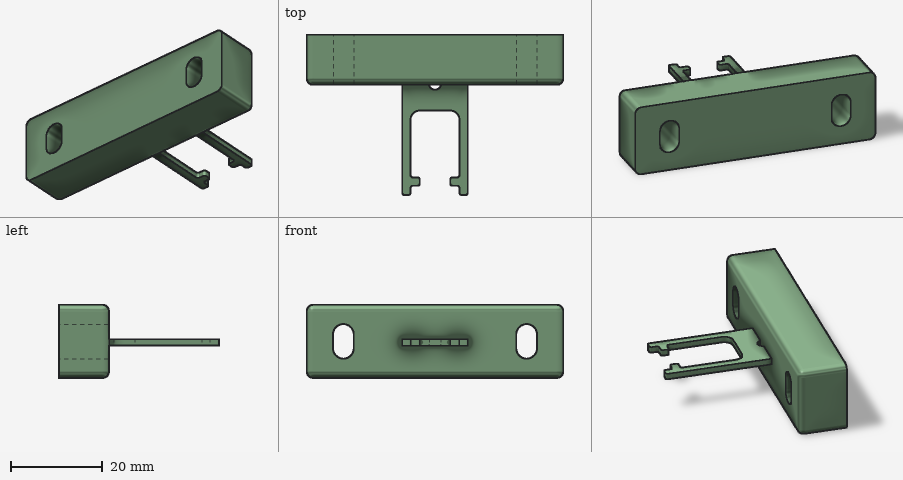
import cadquery as cq

housing_width = 56.0
housing_depth = 11.0
housing_height = 16.0
housing_edge_radius = 1.45

slot_width = 4.5
slot_height = 7.5
slot_spacing = 40.0

key_length = 24.0
key_width = 14.35
key_thickness = 1.4
key_drop = 0.2
arm_width = 1.85
bridge_length = 5.6
bridge_corner_radius = 2.0
small_radius = 0.5

tooth_reach = 2.0
tooth_length = 1.85
tooth_tip_distance = 2.0

notch_radius = 1.35
notch_depth = 1.0

front_y = -housing_depth
tip_y = front_y - key_length
bridge_y = front_y - bridge_length
tooth_front_y = tip_y + tooth_tip_distance
tooth_back_y = tooth_front_y + tooth_length
outer_x = key_width / 2
inner_x = outer_x - arm_width
tooth_x = inner_x - tooth_reach


def make_housing():
    """Block rounded on every edge except those of the flat back face."""
    block = (
        cq.Workplane("XY")
        .box(housing_width, housing_depth, housing_height)
        .translate((0, -housing_depth / 2, 0))
        .edges("not >Y")
        .fillet(housing_edge_radius)
    )
    slots = (
        cq.Workplane("XZ")
        .pushPoints([(-slot_spacing / 2, 0), (slot_spacing / 2, 0)])
        .slot2D(slot_height, slot_width, 90)
        .extrude(housing_depth)
    )
    return block.cut(slots)


def make_key():
    """Symmetric fork with toothed arms and a notch at its root."""
    right_side = [
        (outer_x, front_y),
        (outer_x, tip_y),
        (inner_x, tip_y),
        (inner_x, tooth_front_y),
        (tooth_x, tooth_front_y),
        (tooth_x, tooth_back_y),
        (inner_x, tooth_back_y),
        (inner_x, bridge_y),
    ]
    left_side = [(-x, y) for x, y in reversed(right_side)]
    bottom_z = -key_drop - key_thickness / 2
    key = (
        cq.Workplane("XY", origin=(0, 0, bottom_z))
        .polyline(right_side + left_side)
        .close()
        .extrude(key_thickness)
    )

    bridge_zone = cq.selectors.BoxSelector(
        (-outer_x, bridge_y - small_radius, -housing_height),
        (outer_x, bridge_y + small_radius, housing_height),
    )
    arm_zone = cq.selectors.BoxSelector(
        (-key_width, tip_y - small_radius, -housing_height),
        (key_width, tooth_back_y + small_radius, housing_height),
    )
    key = key.edges("|Z").edges(bridge_zone).fillet(bridge_corner_radius)
    key = key.edges("|Z").edges(arm_zone).fillet(small_radius)

    notch = (
        cq.Workplane("XY", origin=(0, front_y - notch_depth + notch_radius, bottom_z))
        .circle(notch_radius)
        .extrude(key_thickness)
    )
    return key.cut(notch)


housing = make_housing()
key = make_key()
result = cq.Compound.makeCompound([housing.solids().val(), key.solids().val()])